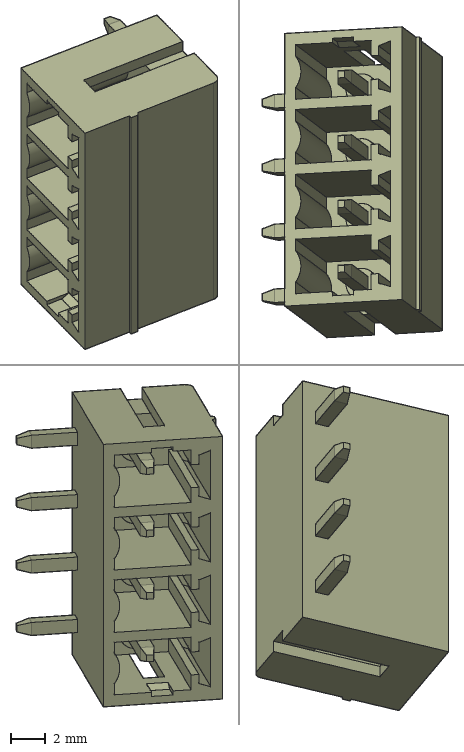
import cadquery as cq


positions = 4
pitch = 3.81
end_margin = 2.3
body_width = 7.0
body_depth = 9.2
body_height = (positions - 1) * pitch + 2 * end_margin
back_corner_radius = 0.5

ridge_height = 0.2
ridge_front = 3.0
ridge_back = 3.6
ridge_bevel = 0.15

pin_size = 0.8
pin_tip_size = 0.4
pin_taper = 0.8
leg_length = 3.5
pin_x = 3.0
leg_y = 8.0
contact_tip_y = 1.35

cavity_depth = 6.67
cavity_left = 0.65
cavity_right = 5.15
cavity_half_height = 1.6
neck_half_height = 0.7
dovetail_start = 5.6
dovetail_end = 6.3
dovetail_inner_half = 1.25
dovetail_outer_half = 1.5
bump_half_height = 0.92
bump_rise = 0.31
boss_radius = 0.9
boss_length = 1.0

slot_left = 2.84
slot_width = 1.25
slot_front = 2.5
groove_depth = 0.25
groove_flat = 1.0
ramp_end = 1.5

end_wall = end_margin - cavity_half_height
pin_heights = [end_margin + i * pitch for i in range(positions)]


def make_body():
    body = cq.Workplane("XY").box(body_width, body_depth, body_height, centered=False)
    return body.edges("|Z and >X and >Y").fillet(back_corner_radius)


def make_ridge():
    crest = body_width + ridge_height
    return (
        cq.Workplane("XY")
        .moveTo(body_width, ridge_front)
        .lineTo(crest, ridge_front)
        .lineTo(crest, ridge_back - ridge_bevel)
        .lineTo(body_width, ridge_back)
        .close()
        .extrude(body_height)
    )


def make_cavity(z):
    """Plug cavity with a dovetail keyway and a bump on its board side."""
    return (
        cq.Workplane("XZ", origin=(0, 0, z))
        .moveTo(cavity_left, -cavity_half_height)
        .lineTo(cavity_right, -cavity_half_height)
        .lineTo(cavity_right, -neck_half_height)
        .lineTo(dovetail_start, -neck_half_height)
        .lineTo(dovetail_start, -dovetail_inner_half)
        .lineTo(dovetail_end, -dovetail_outer_half)
        .lineTo(dovetail_end, dovetail_outer_half)
        .lineTo(dovetail_start, dovetail_inner_half)
        .lineTo(dovetail_start, neck_half_height)
        .lineTo(cavity_right, neck_half_height)
        .lineTo(cavity_right, cavity_half_height)
        .lineTo(cavity_left, cavity_half_height)
        .lineTo(cavity_left, bump_half_height)
        .threePointArc((cavity_left + bump_rise, 0), (cavity_left, -bump_half_height))
        .close()
        .extrude(-cavity_depth)
    )


def make_boss(z):
    """Round collar on the cavity floor, around the contact."""
    return (
        cq.Workplane("XZ", origin=(pin_x, cavity_depth, z))
        .circle(boss_radius)
        .extrude(boss_length)
    )


def make_bar(plane, length):
    """Square bar along the plane normal with a tapered tip at its far end."""
    shank_length = length - pin_taper
    shank = cq.Workplane(plane).rect(pin_size, pin_size).extrude(shank_length)
    tip = (
        cq.Workplane(plane)
        .workplane(offset=shank_length)
        .rect(pin_size, pin_size)
        .workplane(offset=pin_taper)
        .rect(pin_tip_size, pin_tip_size)
        .loft(ruled=True)
    )
    return shank.union(tip)


def make_pin(z):
    """Right-angle pin: contact toward the mating face, leg through the board face."""
    bend = (pin_x, leg_y, z)
    contact_plane = cq.Plane(origin=bend, xDir=(1, 0, 0), normal=(0, -1, 0))
    leg_plane = cq.Plane(origin=bend, xDir=(0, 1, 0), normal=(-1, 0, 0))
    contact = make_bar(contact_plane, leg_y - contact_tip_y)
    leg = make_bar(leg_plane, pin_x + leg_length)
    return contact.union(leg)


def make_bottom_latch():
    """Slot through the bottom end wall and the ramped groove in front of it."""
    slot = cq.Workplane("XY").box(
        slot_width, body_depth - slot_front, end_wall, centered=False
    ).translate((slot_left, slot_front, 0))
    groove = (
        cq.Workplane("YZ", origin=(slot_left, 0, 0))
        .moveTo(0, end_wall)
        .lineTo(0, end_wall - groove_depth)
        .lineTo(groove_flat, end_wall - groove_depth)
        .lineTo(ramp_end, end_wall)
        .close()
        .extrude(slot_width)
    )
    return slot.union(groove)


result = make_body().union(make_ridge())
for height in pin_heights:
    result = result.cut(make_cavity(height))

bottom_latch = make_bottom_latch()
top_latch = bottom_latch.mirror("XY", (0, 0, body_height / 2))
result = result.cut(bottom_latch).cut(top_latch)

for height in pin_heights:
    result = result.union(make_boss(height)).union(make_pin(height))